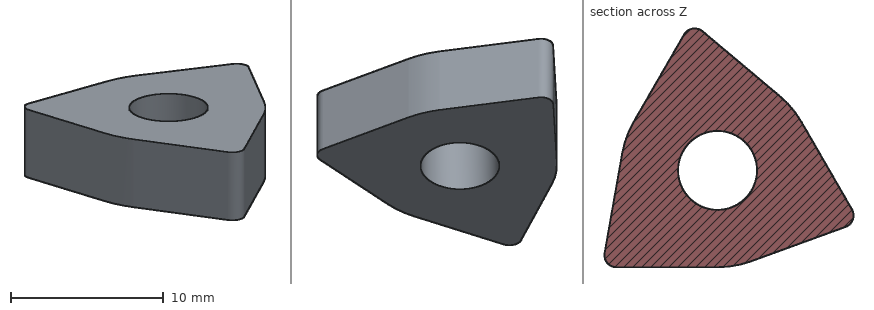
import cadquery as cq
import math

INSCRIBED_DIAMETER = 12.7
THICKNESS = 4.76
HOLE_DIAMETER = 5.16
NOSE_RADIUS = 0.8
NOSE_ANGLE = 80.0
NOSE_COUNT = 3
FIRST_NOSE_DIRECTION = -20.0

inscribed_radius = INSCRIBED_DIAMETER / 2
nose_pitch = 360.0 / NOSE_COUNT
flank_turn = (180.0 - NOSE_ANGLE) / 2
nose_center_distance = (inscribed_radius - NOSE_RADIUS) / math.cos(math.radians(flank_turn))


def polar(radius, angle, center=(0.0, 0.0)):
    """Point at the given radius and angle in degrees around a center."""
    turn = math.radians(angle)
    return (center[0] + radius * math.cos(turn), center[1] + radius * math.sin(turn))


def trigon_outline():
    """Closed outline: flanks tangent to the inscribed circle, joined by nose arcs and side arcs."""
    outline = cq.Workplane("XY").moveTo(*polar(inscribed_radius, FIRST_NOSE_DIRECTION - flank_turn))
    for index in range(NOSE_COUNT):
        direction = FIRST_NOSE_DIRECTION + index * nose_pitch
        nose_center = polar(nose_center_distance, direction)
        leaving_normal = direction + flank_turn
        next_normal = direction + nose_pitch - flank_turn
        side_middle = direction + nose_pitch / 2

        outline = outline.lineTo(*polar(NOSE_RADIUS, direction - flank_turn, nose_center))
        outline = outline.threePointArc(
            polar(NOSE_RADIUS, direction, nose_center),
            polar(NOSE_RADIUS, leaving_normal, nose_center),
        )
        outline = outline.lineTo(*polar(inscribed_radius, leaving_normal))
        outline = outline.threePointArc(
            polar(inscribed_radius, side_middle),
            polar(inscribed_radius, next_normal),
        )
    return outline.close()


body = trigon_outline().extrude(THICKNESS)
result = body.faces(">Z").workplane(origin=(0, 0, THICKNESS)).hole(HOLE_DIAMETER)